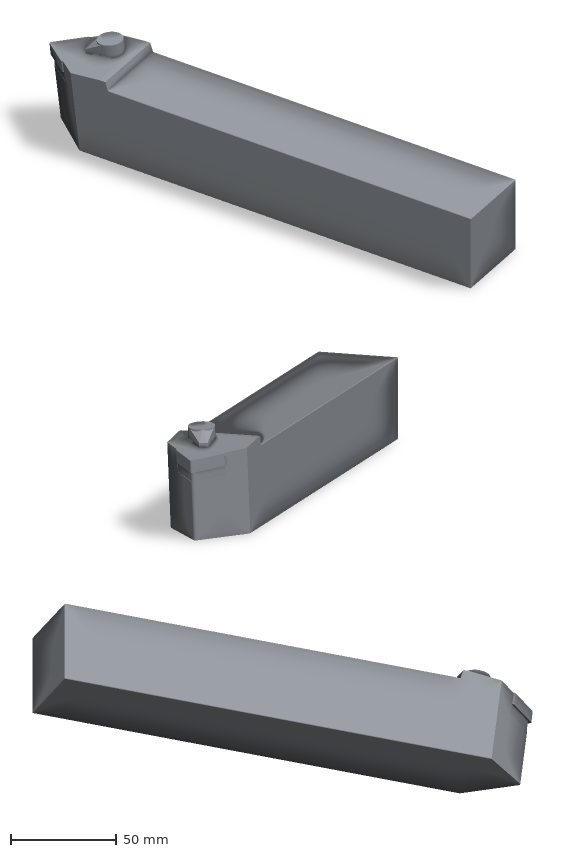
import cadquery as cq
import math

length = 250.0
width = 40.0
shank_height = 40.0
edge_chamfer = 0.2

point_angle = 80.0
half_angle = math.radians(point_angle / 2)
clearance_angle = math.radians(7)
head_apex_x = 5.8
head_nose_radius = 1.2
head_top = 44.5
head_flat_start = 41.0
head_flat_end = 44.0
head_step_end = 45.5

rake_degrees = 6.0
rake = math.radians(rake_degrees)
tip_height = head_top - head_flat_start * math.tan(rake)

inscribed_diameter = 19.0
insert_thickness = 6.2
insert_corner_radius = 0.8
shim_thickness = 5.0
shim_setback = 0.2

clamp_x = 31.8
clamp_y = 5.0
clamp_radius = 6.5
clamp_nose_points = [(20.2, 2.5), (21.2, -1.5)]
clamp_gap_start = 25.0
clamp_gap_end = 35.0
overall_height = 51.2
clamp_gap_height = 1.5
clamp_nose_height = 2.2
clamp_crest_bearing = math.radians(203)
clamp_right_tangent = (clamp_x, clamp_y - clamp_radius)

tool_overcut = 25.0


def inclined_plane(height=0):
    """Plane parallel to the rake face, at a height above it; the local origin is below the tip."""
    normal = cq.Vector(-math.sin(rake), 0, math.cos(rake))
    origin = cq.Vector(0, 0, tip_height) + normal * height
    return cq.Workplane(cq.Plane(origin, (math.cos(rake), 0, math.sin(rake)), normal))


def leaning_nose(setback):
    """Endless shank with a pointed nose, leaning forward by the clearance angle."""
    apex = head_apex_x + setback
    shoulder = apex + width / 2 / math.tan(half_angle)
    end = length + tool_overcut
    outline = (
        cq.Workplane("XY")
        .polyline([(apex, 0), (shoulder, -width / 2), (end, -width / 2), (end, width / 2),
                   (shoulder, width / 2)])
        .close()
    )
    height = head_top + tool_overcut
    lean = cq.Vector(-height * math.tan(clearance_angle), 0, height)
    prism = cq.Solid.extrudeLinear(outline.val(), [], lean)
    return cq.Workplane(prism).edges("<X").edges("not #Z").fillet(head_nose_radius)


def rhombus(height, thickness, rounded):
    """Rhombic plate hanging below a plane parallel to the rake face."""
    side = inscribed_diameter / math.sin(2 * half_angle)
    half_length = side * math.cos(half_angle)
    half_width = side * math.sin(half_angle)
    tip = -insert_corner_radius * (1 / math.sin(half_angle) - 1)
    plate = (
        inclined_plane(height)
        .polyline([(tip, 0), (tip + half_length, -half_width), (tip + 2 * half_length, 0),
                   (tip + half_length, half_width)])
        .close()
        .extrude(-thickness)
    )
    if rounded:
        upright = cq.Vector(-math.sin(rake), 0, math.cos(rake))
        plate = plate.edges(cq.selectors.ParallelDirSelector(upright)).fillet(insert_corner_radius)
    return plate


def make_blank():
    """Shank and raised head before the insert seat is cut."""
    front = -tool_overcut
    profile = (
        cq.Workplane("XZ")
        .polyline([(front, 0), (length, 0), (length, shank_height), (head_step_end, shank_height),
                   (head_flat_end, head_top), (head_flat_start, head_top),
                   (front, tip_height + front * math.tan(rake))])
        .close()
        .extrude(width / 2, both=True)
    )
    blank = profile.intersect(leaning_nose(0))
    long_edges = cq.selectors.BoxSelector(
        (head_step_end, -width, -2.5), (length - 2.5, width, shank_height + 2.5))
    blank = blank.edges("|X").edges(long_edges).chamfer(edge_chamfer)
    return blank.faces(">X").edges().chamfer(edge_chamfer)


def make_shim():
    plate = rhombus(-insert_thickness, shim_thickness, True)
    return plate.intersect(leaning_nose(shim_setback))


def make_nose_slope(left_tangent, top):
    """Facets rising from the nose corners to the rim of the button, closed around its axis."""
    left, right = clamp_nose_points
    frame = inclined_plane().plane
    crest = (clamp_x + clamp_radius * math.cos(clamp_crest_bearing),
             clamp_y + clamp_radius * math.sin(clamp_crest_bearing))

    def at(point, height):
        return frame.toWorldCoords((point[0], point[1], height))

    low = [at(p, clamp_nose_height) for p in (left, right)]
    rim = [at(p, top) for p in (left_tangent, crest, clamp_right_tangent)]
    hub_low = [at(p, clamp_nose_height) for p in (left_tangent, (clamp_x, clamp_y), clamp_right_tangent)]
    hub_top = at((clamp_x, clamp_y), top)
    polygons = [
        [low[0], low[1], hub_low[2], hub_low[1], hub_low[0]],
        [low[0], low[1], rim[1]],
        [low[0], rim[1], rim[0]],
        [low[1], rim[2], rim[1]],
        [low[0], rim[0], hub_low[0]],
        [low[1], hub_low[2], rim[2]],
        [hub_low[0], rim[0], hub_top, hub_low[1]],
        [hub_low[2], hub_low[1], hub_top, rim[2]],
        [rim[0], rim[1], rim[2], hub_top],
    ]
    faces = [cq.Face.makeFromWires(cq.Wire.makePolygon(p, close=True)) for p in polygons]
    return cq.Workplane(cq.Solid.makeSolid(cq.Shell.makeShell(faces)))


def make_clamp():
    """Round button drawn out into a sloping nose that presses on the insert."""
    rear = (clamp_x + clamp_radius)
    top = (overall_height - tip_height - rear * math.sin(rake)) / math.cos(rake)
    left, right = clamp_nose_points

    dx = left[0] - clamp_x
    dy = left[1] - clamp_y
    bearing = math.atan2(dy, dx) - math.acos(clamp_radius / math.hypot(dx, dy))
    left_tangent = (clamp_x + clamp_radius * math.cos(bearing), clamp_y + clamp_radius * math.sin(bearing))

    button = inclined_plane().center(clamp_x, clamp_y).circle(clamp_radius).extrude(top)
    nose_outline = [left, right, clamp_right_tangent, (clamp_x, clamp_y), left_tangent]
    nose = inclined_plane().polyline(nose_outline).close().extrude(clamp_nose_height)
    slope = make_nose_slope(left_tangent, top)
    gap = (
        inclined_plane()
        .center((clamp_gap_start + clamp_gap_end) / 2, clamp_y)
        .rect(clamp_gap_end - clamp_gap_start, 4 * clamp_radius)
        .extrude(clamp_gap_height)
    )
    return button.union(nose).union(slope).cut(gap)


def make_holder():
    """Tool holder with its shim and clamp."""
    pocket = rhombus(0, insert_thickness + shim_thickness, False)
    return make_blank().cut(pocket).union(make_shim()).union(make_clamp())


def make_insert():
    """Cutting insert, standing slightly proud of the head faces."""
    return rhombus(0, insert_thickness, True)


holder = make_holder()
insert = make_insert()
result = cq.Compound.makeCompound([holder.solids().val(), insert.val()])